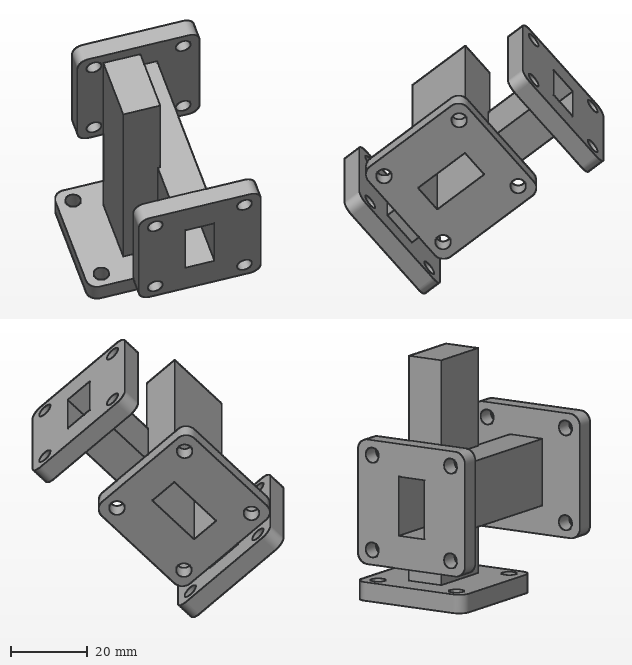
import cadquery as cq

flange_side = 33.3
flange_thickness = 5.0
corner_radius = 3.0
hole_diameter = 4.0
hole_pitch_wide = 25.3
hole_pitch_narrow = 24.3

bore_wide = 15.8
bore_narrow = 7.9
guide_wide = 17.8
guide_narrow = 10.1
through_length = 60.0
stub_height = 65.0
cap_thickness = 1.0

through_center_y = 9.4
through_center_z = 30.0


def centered_block(wide, narrow, length):
    """Block on Z = 0, broad side along X and narrow side along Y."""
    return cq.Workplane("XY").rect(wide, narrow).extrude(length)


def flange():
    """Square rounded plate with four bolt holes, resting on Z = 0."""
    return (
        centered_block(flange_side, flange_side, flange_thickness)
        .edges("|Z")
        .fillet(corner_radius)
        .faces(">Z")
        .workplane()
        .rect(hole_pitch_wide, hole_pitch_narrow, forConstruction=True)
        .vertices()
        .hole(hole_diameter)
    )


def lay_along_x(body):
    """Turn a Z-axis body to the X axis, with its broad side along Z."""
    return body.rotate((0, 0, 0), (0, 1, 0), 90).translate(
        (-through_length / 2, through_center_y, through_center_z)
    )


stub = flange().union(centered_block(guide_wide, guide_narrow, stub_height))
stub_bore = centered_block(bore_wide, bore_narrow, stub_height - cap_thickness)

far_flange = flange().translate((0, 0, through_length - flange_thickness))
through_guide = lay_along_x(
    centered_block(guide_wide, guide_narrow, through_length).union(flange()).union(far_flange)
)
through_bore = lay_along_x(centered_block(bore_wide, bore_narrow, through_length))

result = stub.union(through_guide).cut(stub_bore).cut(through_bore)